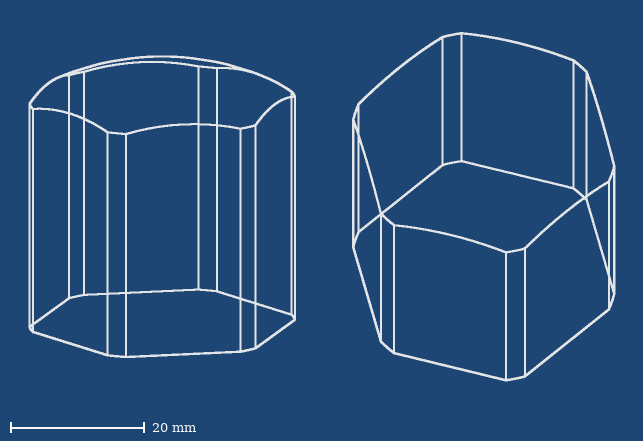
import cadquery as cq
import math

across_flats = 36.0
corner_diameter = 40.0
height = 40.0
dome_radius = 40.0

sharp_corner_diameter = across_flats / math.cos(math.radians(30))
hexagon = (
    cq.Workplane("XY")
    .polygon(6, sharp_corner_diameter)
    .extrude(height)
    .rotate((0, 0, 0), (0, 0, 1), 30)
)

corner_round = cq.Workplane("XY").circle(corner_diameter / 2).extrude(height)

dome = cq.Workplane("XY").sphere(dome_radius).translate((0, 0, height - dome_radius))

result = hexagon.intersect(corner_round).intersect(dome)